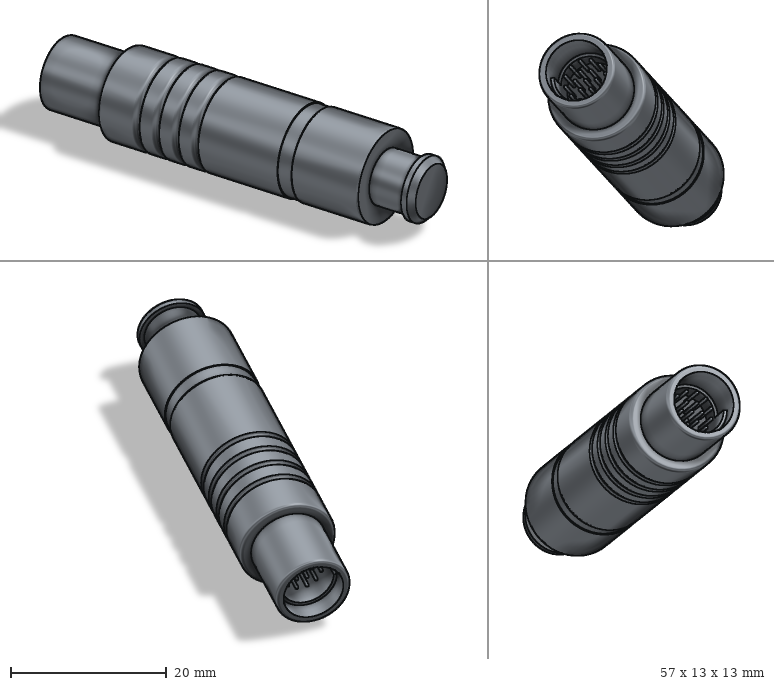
import cadquery as cq
import math


tip_radius = 5.05
tip_length = 10.0
tip_round = 0.45

body_radius = 6.5
body_end = 50.0
body_front_round = 0.5
body_rear_taper_length = 0.35
body_rear_taper_height = 0.05

groove_count = 4
groove_pitch = 3.0
first_groove_start = 15.3
groove_width = 1.15
shoulder_length = 0.5
shoulder_drop = 0.23

band_start = 37.6
band_end = 39.75
band_depth = 0.15

neck_radius = 3.9
flange_radius = 4.55
flange_start = 55.3
flange_chamfer = 0.85
overall_length = 57.0

socket_radius = 4.05
inner_socket_radius = 3.6
lower_ledge_depth = 2.5
upper_ledge_depth = 6.0
socket_depth = 9.0

pin_radius = 0.22
pin_tip_round = 0.15
pin_length = 4.6
pin_rings = [(1, 0.0, 0.0), (6, 1.4, 0.0), (12, 2.73, 15.0)]


def cylinder(start, end, radius):
    """Solid cylinder along X from start to end."""
    return cq.Workplane("YZ").workplane(offset=start).circle(radius).extrude(end - start)


def revolve_about_x(profile):
    """Turn a closed (X, radius) profile into a solid of revolution about X."""
    return profile.close().revolve(360, (0, 0, 0), (1, 0, 0))


def make_tip():
    return cylinder(0, tip_length, tip_radius).faces("<X").edges().fillet(tip_round)


def make_body():
    """Cylinder with a rounded front edge and a slightly tapered rear edge."""
    rear_taper_start = body_end - body_rear_taper_length
    rear_radius = body_radius - body_rear_taper_height
    front = cylinder(tip_length, rear_taper_start, body_radius)
    front = front.faces("<X").edges().fillet(body_front_round)
    rear_profile = (
        cq.Workplane("XY")
        .moveTo(rear_taper_start, 0)
        .lineTo(rear_taper_start, body_radius)
        .lineTo(body_end, rear_radius)
        .lineTo(body_end, 0)
    )
    return front.union(revolve_about_x(rear_profile))


def make_neck():
    neck = cylinder(body_end, flange_start, neck_radius)
    flange = cylinder(flange_start, overall_length, flange_radius)
    return neck.union(flange.faces(">X").edges().chamfer(flange_chamfer))


def make_groove(start):
    """Ring cutter: rounded front shoulder running smoothly into a hollow with a steep rear wall."""
    shoulder_end = (start + shoulder_length, body_radius - shoulder_drop)
    shoulder_radius = (shoulder_length**2 + shoulder_drop**2) / (2 * shoulder_drop)
    half_angle = math.atan2(shoulder_drop, shoulder_length)
    shoulder_mid = (
        start + shoulder_radius * math.sin(half_angle),
        body_radius - shoulder_radius * (1 - math.cos(half_angle)),
    )
    profile = (
        cq.Workplane("XY")
        .moveTo(start, body_radius)
        .threePointArc(shoulder_mid, shoulder_end)
        .tangentArcPoint((start + groove_width, body_radius), relative=False)
    )
    return revolve_about_x(profile)


def make_band():
    outer = cylinder(band_start, band_end, body_radius)
    return outer.cut(cylinder(band_start, band_end, body_radius - band_depth))


def make_socket():
    """Socket cutter with a half-round shell left standing below the axis."""
    ledge_gap = upper_ledge_depth - lower_ledge_depth
    upper_half = cq.Workplane("XY").box(
        ledge_gap, 2 * socket_radius, socket_radius, centered=(False, True, False)
    )
    upper_half = upper_half.translate((lower_ledge_depth, 0, 0))
    upper_half = upper_half.intersect(cylinder(lower_ledge_depth, upper_ledge_depth, socket_radius))
    mouth = cylinder(0, lower_ledge_depth, socket_radius)
    inner = cylinder(0, socket_depth, inner_socket_radius)
    return mouth.union(upper_half).union(inner)


def add_pins(part):
    for count, ring_radius, first_angle in pin_rings:
        pins = (
            cq.Workplane("YZ")
            .workplane(offset=socket_depth - pin_length)
            .polarArray(ring_radius, first_angle, 360, count)
            .circle(pin_radius)
            .extrude(pin_length)
            .faces("<X")
            .edges()
            .fillet(pin_tip_round)
        )
        part = part.union(pins)
    return part


def cut_grip_grooves(part):
    for index in range(groove_count):
        part = part.cut(make_groove(first_groove_start + index * groove_pitch))
    return part


result = make_tip().union(make_body()).union(make_neck())
result = cut_grip_grooves(result)
result = result.cut(make_band()).cut(make_socket())
result = add_pins(result)